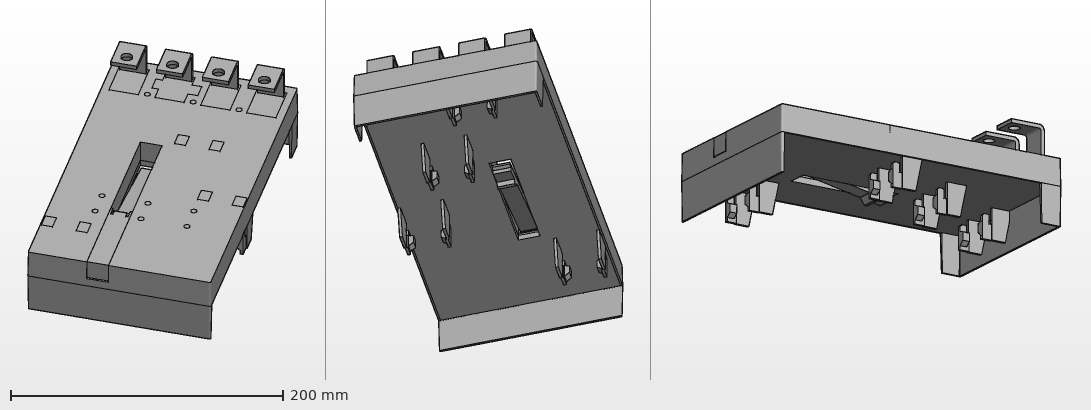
import cadquery as cq
import math


length = 242.5
width = 140.0
cover_height = 21.8
skirt_height = 30.8
wall_draft = 0.5
corner_radius = 1.7

cover_wall = 1.5
floor_thickness = 4.8

skirt_thickness = 2.5
return_length = 17.7
return_slant = 0.7

pole_pitch = 35.0
pole_centers = [(i - 1.5) * pole_pitch for i in range(4)]
terminal_width = 20.0
terminal_thickness = 3.2
terminal_inner_radius = 1.7
terminal_top = 48.0
terminal_back = 111.0
terminal_front = 82.5
terminal_hole_diameter = 8.7
terminal_hole_y = 91.2
terminal_window_width = 22.3
terminal_window_back = 113.2

claw_pairs = [(-51.2, 3), (-16.2, 0), (17.2, 1), (51.2, 2)]
claw_pitch = 60.0
rear_claw_y = 104.0
claw_span = 35.0
claw_window_width = 8.5
claw_window_length = 11.2
claw_height = 25.0
leg_top_length = 16.7
leg_bottom_length = 11.5
claw_plate_thickness = 2.2
catch_reach = 8.0
catch_gap = 2.2
catch_top = -5.3
gap_bottom = -12.5
catch_chamfer = 1.5
catch_step = 1.0
wedge_depth = 4.0
wedge_top = -10.7
wedge_nose_top = -12.1
wedge_nose_bottom = -18.7
wedge_bottom = -21.8

peg_diameter = 4.4
peg_rows = [84.6, -41.2, -60.5]
peg_columns = [-pole_pitch, 0.0, pole_pitch]

slot_x = -16.5
slot_width = 16.5
slot_back = 28.1
slider_back = -53.8
slider_depth = 14.5
slider_clearance = 0.7
slider_setback = 0.7
rim_width = 13.3
rim_length = 6.5
rim_step = 2.5
rim_tongue_width = 9.7
rim_tongue_gap = 2.5
lever_width = 13.3
lever_tip = 25.0
lever_end = 22.3
lever_end_bottom = -6.0
lever_slope = 0.19
lever_tip_top = 0.5
lever_lip_bottom = -1.5
lever_lip_root = -2.5
tooth_back = 11.6
tooth_tip_back = 11.0
tooth_tip_front = 8.5
tooth_front = 4.8
tooth_tip = -8.2
lever_root_top = 11.2

deck_bottom = floor_thickness
slider_bottom = cover_height - slider_depth
front = -length / 2


def block(x_range, y_range, z_range):
    """Box between the given limits."""
    size = [high - low for low, high in (x_range, y_range, z_range)]
    return cq.Workplane("XY").box(*size, centered=False).translate((x_range[0], y_range[0], z_range[0]))


def strip(middle, strip_width):
    """Limits of a strip around a middle line."""
    return (middle - strip_width / 2, middle + strip_width / 2)


def yz_prism(points, x_range):
    """Prism along X over an outline in Y and Z."""
    outline = cq.Workplane("YZ").workplane(offset=x_range[0]).polyline(points).close()
    return outline.extrude(x_range[1] - x_range[0])


def drafted_block(height):
    """Round-cornered outline at the parting plane, narrowing over the height."""
    outline = cq.Sketch().rect(width, length).vertices().fillet(corner_radius)
    draft_angle = math.degrees(math.atan2(wall_draft, abs(height)))
    return cq.Workplane("XY").placeSketch(outline).extrude(height, taper=draft_angle)


def claw_window_back(step):
    """Rear edge in Y of a claw window, counted in claw pitches from the rearmost pair."""
    return rear_claw_y - step * claw_pitch


def make_posts():
    """Posts and pegs of the base that fill the openings in the cover."""
    z_range = (deck_bottom, cover_height)
    window_y = (terminal_front, terminal_window_back)
    posts = cq.Workplane("XY").workplane(offset=deck_bottom)
    posts = posts.pushPoints([(x, y) for x in peg_columns for y in peg_rows])
    posts = posts.circle(peg_diameter / 2).extrude(cover_height - deck_bottom)
    for x in pole_centers:
        posts = posts.union(block(strip(x, terminal_window_width), window_y, z_range))
    for pair_x, step in claw_pairs:
        back = claw_window_back(step)
        for side in (-1, 1):
            post_x = pair_x + side * (claw_span - claw_window_width) / 2
            post_y = (back - claw_window_length, back)
            posts = posts.union(block(strip(post_x, claw_window_width), post_y, z_range))
    return posts


def make_slot():
    """Slot through cover and base behind the slider."""
    return block(strip(slot_x, slot_width), (slider_back, slot_back), (0, cover_height))


def make_cover():
    """Drafted cover with windows, a slot, a groove for the slider and a recess for the base floor."""
    cover = drafted_block(cover_height)
    cavity_x = strip(0, width - 2 * cover_wall)
    cavity_y = strip(0, length - 2 * cover_wall)
    cover = cover.cut(block(cavity_x, cavity_y, (0, deck_bottom)))
    groove_y = (front, slider_back)
    groove_bottom = slider_bottom - slider_clearance
    groove = block(strip(slot_x, slot_width), groove_y, (groove_bottom, cover_height))
    return cover.cut(groove).cut(make_slot()).cut(make_posts())


def make_claw():
    """Claw on the -X side of its pair: outer face at X = 0, front edge of the leg at Y = 0."""
    catch_inner = catch_step + claw_plate_thickness
    leg = yz_prism(
        [(0, 0), (leg_top_length, 0), (leg_bottom_length, -claw_height), (0, -claw_height)],
        (0, claw_plate_thickness),
    )
    catch = yz_prism(
        [
            (0, -claw_height),
            (-catch_reach, -claw_height),
            (-catch_reach, catch_top - catch_chamfer),
            (-catch_reach + catch_chamfer, catch_top),
            (-catch_gap, catch_top),
            (-catch_gap, gap_bottom),
            (0, gap_bottom),
        ],
        (catch_step, catch_inner),
    )
    wedge = (
        cq.Workplane("XZ")
        .workplane(offset=catch_gap)
        .polyline(
            [
                (catch_inner, wedge_top),
                (catch_inner + wedge_depth, wedge_nose_top),
                (catch_inner + wedge_depth, wedge_nose_bottom),
                (catch_inner, wedge_bottom),
            ]
        )
        .close()
        .extrude(catch_reach - catch_gap)
    )
    return leg.union(catch).union(wedge)


def make_skirt():
    """End walls below the parting plane; the +Y wall wraps round both corners."""
    skirt = drafted_block(-skirt_height)
    inner_width = width - 2 * skirt_thickness
    inner_length = length - 2 * skirt_thickness
    draft_angle = math.degrees(math.atan2(wall_draft, skirt_height))
    hollow = cq.Workplane("XY").rect(inner_width, inner_length).extrude(-skirt_height, taper=-draft_angle)
    front_inner = front + skirt_thickness
    return_edge = length / 2 - return_length
    side_opening = yz_prism(
        [
            (front_inner, 0),
            (return_edge, 0),
            (return_edge + return_slant, -skirt_height),
            (front_inner - wall_draft, -skirt_height),
        ],
        strip(0, width),
    )
    return skirt.cut(hollow).cut(side_opening)


def make_base():
    """Floor inside the cover, with skirt walls and claws below and posts above."""
    floor_x = strip(0, width - 2 * cover_wall)
    floor_y = strip(0, length - 2 * cover_wall)
    base = block(floor_x, floor_y, (0, floor_thickness))
    base = base.union(make_skirt()).union(make_posts())
    claw = make_claw()
    mirrored_claw = claw.mirror("YZ")
    for pair_x, step in claw_pairs:
        leg_front = claw_window_back(step)
        base = base.union(claw.translate((pair_x - claw_span / 2, leg_front, 0)))
        base = base.union(mirrored_claw.translate((pair_x + claw_span / 2, leg_front, 0)))
    base = base.cut(make_slot())
    for x in pole_centers:
        pocket_y = (terminal_back - terminal_thickness, terminal_back)
        pocket = block(strip(x, terminal_width), pocket_y, (deck_bottom, cover_height))
        base = base.cut(pocket)
    return base


def make_terminal(x):
    """Bent strip with a hole, standing on the floor of the base."""
    outer_radius = terminal_inner_radius + terminal_thickness
    x_range = strip(x, terminal_width)
    outside = block(x_range, (terminal_front, terminal_back), (deck_bottom, terminal_top))
    outside = outside.edges("|X and >Y and >Z").fillet(outer_radius)
    inside_y = (terminal_front, terminal_back - terminal_thickness)
    inside = block(x_range, inside_y, (deck_bottom, terminal_top - terminal_thickness))
    inside = inside.edges("|X and >Y and >Z").fillet(terminal_inner_radius)
    hole = cq.Workplane("XY").center(x, terminal_hole_y).circle(terminal_hole_diameter / 2)
    return outside.cut(inside).cut(hole.extrude(terminal_top))


def make_slider():
    """Bar in the front groove of the cover, with a stepped rim round a tongue at its rear end."""
    slider_y = (front + slider_setback, slider_back)
    slider = block(strip(slot_x, slot_width), slider_y, (slider_bottom, cover_height))
    rim_front = slider_back - rim_length
    rim_z = (cover_height - rim_step, cover_height)
    rim = block(strip(slot_x, rim_width), (rim_front, slider_back), rim_z)
    tongue = block(strip(slot_x, rim_tongue_width), (rim_front, slider_back - rim_tongue_gap), rim_z)
    return slider.cut(rim.cut(tongue))


def make_lever():
    """Sloping bar from the rear face of the slider down to a latch tooth below the base."""

    def underside(y):
        return lever_end_bottom + (lever_end - y) * lever_slope

    profile = [
        (slider_back, lever_root_top),
        (slider_back, underside(slider_back)),
        (tooth_front, underside(tooth_front)),
        (tooth_tip_front, tooth_tip),
        (tooth_tip_back, tooth_tip),
        (tooth_back, underside(tooth_back)),
        (lever_end, lever_end_bottom),
        (lever_end, lever_lip_root),
        (lever_tip, lever_lip_bottom),
        (lever_tip, lever_tip_top),
    ]
    return yz_prism(profile, strip(slot_x, lever_width))


cover = make_cover()
base = make_base()
slider = make_slider()
lever = make_lever()
terminals = [make_terminal(x) for x in pole_centers]

result = cq.Compound.makeCompound(
    [cover.val(), base.val(), slider.val(), lever.val(), *[terminal.val() for terminal in terminals]]
)